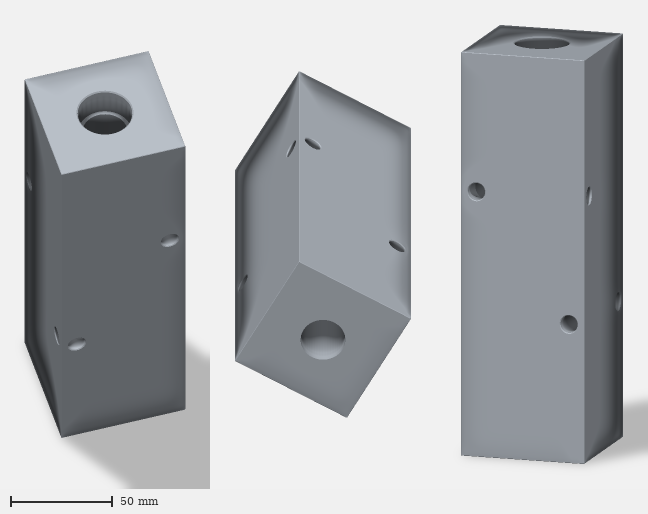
import cadquery as cq

block_side = 63.5
block_height = 203.2
block_edge_chamfer = 0.25

bore_diameter = 22.0
port_mouth_diameter = 28.0
port_chamfer = 0.6
port_depth = 14.5
port_diameter_taper = 1 / 16

cross_hole_diameter = 8.73
cross_hole_chamfer = 0.4
cross_hole_edge_distance = 7.9375
cross_hole_spacing_z = 63.5

cross_hole_offset = block_side / 2 - cross_hole_edge_distance


def make_block():
    """Square block with every outer edge lightly broken."""
    return (
        cq.Workplane("XY")
        .box(block_side, block_side, block_height)
        .edges()
        .chamfer(block_edge_chamfer)
    )


def make_bore():
    """Revolved half profile of the bore, tapered port and mouth chamfer."""
    bore_radius = bore_diameter / 2
    mouth_radius = port_mouth_diameter / 2
    taper_start_radius = mouth_radius - port_chamfer
    taper_length = port_depth - port_chamfer
    taper_end_radius = taper_start_radius - taper_length * port_diameter_taper / 2
    top = block_height / 2
    return (
        cq.Workplane("XZ")
        .moveTo(0, -top)
        .lineTo(bore_radius, -top)
        .lineTo(bore_radius, top - port_depth)
        .lineTo(taper_end_radius, top - port_depth)
        .lineTo(taper_start_radius, top - port_chamfer)
        .lineTo(mouth_radius, top)
        .lineTo(0, top)
        .close()
        .revolve(360, (0, 0, 0), (0, 1, 0))
    )


def make_cross_hole():
    """Cutter along Z for one through hole, flared by a chamfer at both mouths."""
    hole_radius = cross_hole_diameter / 2
    mouth_radius = hole_radius + cross_hole_chamfer
    half_length = block_side / 2
    straight_half_length = half_length - cross_hole_chamfer
    return (
        cq.Workplane("XZ")
        .moveTo(0, -half_length)
        .lineTo(mouth_radius, -half_length)
        .lineTo(hole_radius, -straight_half_length)
        .lineTo(hole_radius, straight_half_length)
        .lineTo(mouth_radius, half_length)
        .lineTo(0, half_length)
        .close()
        .revolve(360, (0, 0, 0), (0, 1, 0))
    )


def drill_cross_holes(body):
    """A diagonal pair of holes along Y and a matching pair along X."""
    along_y = make_cross_hole().rotate((0, 0, 0), (1, 0, 0), 90)
    along_x = make_cross_hole().rotate((0, 0, 0), (0, 1, 0), 90)
    for side in (1, -1):
        height = side * cross_hole_spacing_z / 2
        offset = side * cross_hole_offset
        body = body.cut(along_y.translate((-offset, 0, height)))
        body = body.cut(along_x.translate((0, offset, height)))
    return body


result = drill_cross_holes(make_block().cut(make_bore()))